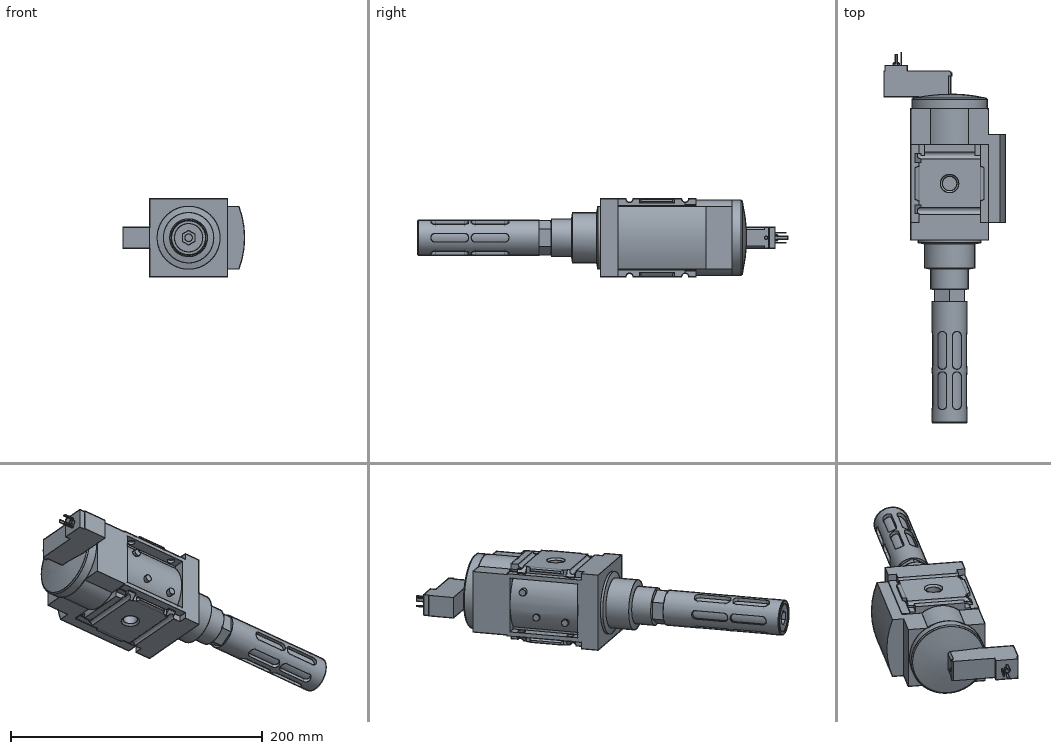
import cadquery as cq
import math


block_width = 62.0
half_width = block_width / 2
block_length = 76.0
rabbet_start = 14.0
rabbet_inner_x = 24.4
rabbet_floor_z = 25.7

groove_diameter = 5.5
groove_depth = 2.75
front_groove_y = 23.2
rear_groove_y = 67.4
rear_lip_half_width = 20.0
rear_notch_floor_z = 26.5
port_y = 45.0
port_diameter = 11.445
port_chamfer_diameter = 14.6
port_depth = 15.0

rib_outer_x = 27.4
rib_length = 28.0
rib_end_taper = 1.5
rib_floor_z = 27.4
rib_outer_floor_z = 28.6
rib_outer_z = 30.4
lug_length = 7.0
lug_inner_x = 22.9
lug_outer_z = 26.5
front_lug_y = 24.6
rear_lug_y = 65.3

window_start = 17.0
window_end = 73.6
window_half_height = 22.2
window_floor_x = 22.0
inner_cylinder_diameter = 60.0
side_pin_diameter = 5.5
side_pin_places = [(63.0, 11.0), (51.7, -8.6), (27.8, -11.0)]
wall_hole_diameter = 5.8
wall_hole_depth = 2.5
wall_hole_x = -25.9

housing_flat_z = 25.0
side_cover_end = 84.0
side_cover_half_height = housing_flat_z
side_cover_edge_x = 40.0
side_cover_crown_x = 44.55

housing_end = 104.4
housing_crown_z = 30.2
housing_crown_half_width = 15.0
cap_diameter = 60.0
cap_rim_end = 111.8
cap_chamfer = 1.0
cap_apex = 116.1

collar_diameter = 50.0
collar_end = -2.0
neck_large_diameter = 40.0
neck_large_end = -22.0
neck_small_diameter = 30.0
neck_small_end = -38.7
neck_end = -39.2
shoulder_drop = 0.9

solenoid_depth = 17.0
solenoid_left = -52.25
solenoid_right = 1.0
solenoid_base = 113.8
solenoid_top = 134.4
solenoid_end_chamfer = 1.8
solenoid_corner_chamfer = 1.0
end_chamfer_height = 130.4
connector_left = -51.3
connector_right = -33.5
connector_top = 138.9
button_diameter = 2.5
button_y = 131.7
button_end = 2.0
pin_boss_diameter = 5.0
pin_boss_x = -42.4
pin_boss_height = 2.4
pin_boss_chamfer = 0.8
pin_spread = 4.0
pin_width = 1.8
pin_thickness = 0.6
pin_end = 147.5
ground_pin_x = -38.3
ground_pin_width = 2.6
ground_pin_end = 148.9

hex_across_flats = 24.0
hex_end = -48.6
silencer_diameter = 28.0
silencer_core_diameter = 22.5
silencer_end = -145.0
silencer_chamfer = 0.5
core_recess = 0.5
slot_length = 30.0
slot_width = 7.0
slot_offset = 5.8
slot_first_y = -87.5
slot_pitch = 32.0
socket_across_flats = 10.0
socket_depth = 8.0
socket_hole_diameter = 6.0
socket_hole_depth = 4.0


def box(x0, x1, y0, y1, z0, z1):
    return cq.Workplane("XY").box(x1 - x0, y1 - y0, z1 - z0, centered=False).translate((x0, y0, z0))


def on_both_z_sides(shape):
    return [shape, shape.mirror("XY")]


def xz_prism(sketch_points, y0, y1):
    """Straight-sided profile in X and Z, extended from y0 to y1."""
    return cq.Workplane("XZ", origin=(0, y0, 0)).polyline(sketch_points).close().extrude(y0 - y1)


def y_cylinder(diameter, y0, y1):
    return cq.Workplane("XZ", origin=(0, y0, 0)).circle(diameter / 2).extrude(y0 - y1)


def y_hexagon(across_flats, y0, y1):
    """Hexagonal bar along Y with its flats facing +X and -X."""
    across_corners = 2 * across_flats / math.sqrt(3)
    return (
        cq.Workplane("XZ", origin=(0, y0, 0))
        .transformed(rotate=(0, 0, 30))
        .polygon(6, across_corners)
        .extrude(y0 - y1)
    )



def side_cover():
    return (
        cq.Workplane("XZ", origin=(0, rabbet_start, 0))
        .moveTo(half_width, -side_cover_half_height)
        .lineTo(side_cover_edge_x, -side_cover_half_height)
        .threePointArc((side_cover_crown_x, 0), (side_cover_edge_x, side_cover_half_height))
        .lineTo(half_width, side_cover_half_height)
        .close()
        .extrude(rabbet_start - side_cover_end)
    )


def rear_housing():
    return (
        cq.Workplane("XZ", origin=(0, block_length, 0))
        .moveTo(-half_width, -housing_flat_z)
        .lineTo(-housing_crown_half_width, -housing_flat_z)
        .threePointArc((0, -housing_crown_z), (housing_crown_half_width, -housing_flat_z))
        .lineTo(half_width, -housing_flat_z)
        .lineTo(half_width, housing_flat_z)
        .lineTo(housing_crown_half_width, housing_flat_z)
        .threePointArc((0, housing_crown_z), (-housing_crown_half_width, housing_flat_z))
        .lineTo(-half_width, housing_flat_z)
        .close()
        .extrude(block_length - housing_end)
    )


def end_cap():
    rim_radius = cap_diameter / 2
    dome_radius_x = rim_radius - cap_chamfer
    dome_start = cap_rim_end + cap_chamfer
    sagitta = cap_apex - dome_start
    sphere_radius = (dome_radius_x**2 + sagitta**2) / (2 * sagitta)
    middle_x = dome_radius_x / 2
    middle_y = cap_apex - sphere_radius + math.sqrt(sphere_radius**2 - middle_x**2)
    return (
        cq.Workplane("XY")
        .moveTo(0, housing_end)
        .lineTo(rim_radius, housing_end)
        .lineTo(rim_radius, cap_rim_end)
        .lineTo(dome_radius_x, dome_start)
        .threePointArc((middle_x, middle_y), (0, cap_apex))
        .close()
        .revolve(360, (0, 0, 0), (0, 1, 0))
    )


def neck():
    """Stepped neck with slightly conical shoulders."""
    collar_radius = collar_diameter / 2
    large_radius = neck_large_diameter / 2
    small_radius = neck_small_diameter / 2
    tip_radius = hex_across_flats / 2
    profile = [
        (0, 0),
        (collar_radius, 0),
        (collar_radius, collar_end),
        (large_radius, collar_end - shoulder_drop),
        (large_radius, neck_large_end),
        (small_radius, neck_large_end - shoulder_drop),
        (small_radius, neck_small_end),
        (tip_radius, neck_end),
        (0, neck_end),
    ]
    return cq.Workplane("XY").polyline(profile).close().revolve(360, (0, 0, 0), (0, 1, 0))


def rabbet_cutter(side):
    x0, x1 = sorted((side * rabbet_inner_x, side * half_width))
    return box(x0, x1, rabbet_start, block_length, rabbet_floor_z, half_width)


def rear_notch_cutter(side):
    x0, x1 = sorted((side * rear_lip_half_width, side * half_width))
    return box(x0, x1, rear_groove_y, block_length, rear_notch_floor_z, half_width)


def groove_cutter(y):
    centre_z = half_width - groove_depth + groove_diameter / 2
    return (
        cq.Workplane("YZ", origin=(-half_width, 0, 0))
        .center(y, centre_z)
        .circle(groove_diameter / 2)
        .extrude(block_width)
    )


def port_cutter():
    chamfer = (port_chamfer_diameter - port_diameter) / 2
    bore = (
        cq.Workplane("XY", origin=(0, port_y, half_width))
        .circle(port_diameter / 2)
        .extrude(-port_depth)
    )
    mouth = (
        cq.Workplane("XY", origin=(0, port_y, half_width))
        .circle(port_chamfer_diameter / 2)
        .workplane(offset=-chamfer)
        .circle(port_diameter / 2)
        .loft()
    )
    return bore.union(mouth)


def rib(side):
    """Rib along the pad edge, tapered at both ends, its top and underside sloping together outwards."""
    section = [
        (side * rear_lip_half_width, rib_floor_z),
        (side * rabbet_inner_x, rib_floor_z),
        (side * rib_outer_x, rib_outer_floor_z),
        (side * rib_outer_x, rib_outer_z),
        (side * rabbet_inner_x, half_width),
        (side * rear_lip_half_width, half_width),
    ]
    half = rib_length / 2
    bar = xz_prism(section, port_y - half, port_y + half)
    plan = [
        (side * rear_lip_half_width, port_y - half),
        (side * rabbet_inner_x, port_y - half),
        (side * rib_outer_x, port_y - half + rib_end_taper),
        (side * rib_outer_x, port_y + half - rib_end_taper),
        (side * rabbet_inner_x, port_y + half),
        (side * rear_lip_half_width, port_y + half),
    ]
    return bar.intersect(cq.Workplane("XY").polyline(plan).close().extrude(half_width))


def lug_wedge(y):
    """Sloping lug on the -X edge of the pad, at one end of a groove."""
    section = [
        (-lug_inner_x, rabbet_floor_z),
        (-rib_outer_x, rabbet_floor_z),
        (-rib_outer_x, lug_outer_z),
        (-lug_inner_x, half_width),
    ]
    return xz_prism(section, y - lug_length / 2, y + lug_length / 2)


def lug_clearance(y):
    """Pad edge above the slope of a lug."""
    section = [
        (-lug_inner_x, half_width),
        (-rib_outer_x, lug_outer_z),
        (-rib_outer_x, half_width),
    ]
    return xz_prism(section, y - lug_length / 2, y + lug_length / 2)


def window_cutter():
    """Side window that leaves the inner cylinder and three round pins standing proud of its floor."""
    pocket = box(
        -half_width, -window_floor_x, window_start, window_end, -window_half_height, window_half_height
    )
    cutter = pocket.cut(y_cylinder(inner_cylinder_diameter, window_start, window_end))
    for y, z in side_pin_places:
        pin = (
            cq.Workplane("YZ", origin=(-half_width, 0, 0))
            .center(y, z)
            .circle(side_pin_diameter / 2)
            .extrude(half_width - window_floor_x)
        )
        cutter = cutter.cut(pin)
    for y in (front_lug_y, rear_lug_y):
        hole = (
            cq.Workplane("XY", origin=(wall_hole_x, y, window_half_height))
            .circle(wall_hole_diameter / 2)
            .extrude(wall_hole_depth)
        )
        for shape in on_both_z_sides(hole):
            cutter = cutter.union(shape)
    return cutter


def valve_block():
    block = box(-half_width, half_width, 0, block_length, -half_width, half_width)
    cutters = []
    additions = []
    for side in (-1, 1):
        cutters.append(rabbet_cutter(side))
        cutters.append(rear_notch_cutter(side))
        additions.append(rib(side))
    for y in (front_lug_y, rear_lug_y):
        cutters.append(lug_clearance(y))
        additions.append(lug_wedge(y))
    late_cutters = [groove_cutter(front_groove_y), groove_cutter(rear_groove_y), port_cutter()]
    for cutter in cutters:
        for shape in on_both_z_sides(cutter):
            block = block.cut(shape)
    for addition in additions:
        for shape in on_both_z_sides(addition):
            block = block.union(shape)
    for cutter in late_cutters:
        for shape in on_both_z_sides(cutter):
            block = block.cut(shape)
    return block


def solenoid():
    half = solenoid_depth / 2
    coil = box(solenoid_left, solenoid_right, solenoid_base, end_chamfer_height, -half, half)
    coil = coil.faces(">X").edges("|Y").chamfer(solenoid_end_chamfer)
    upper = box(solenoid_left, solenoid_right, end_chamfer_height, solenoid_top, -half, half)
    upper = upper.edges(">X and >Y").chamfer(solenoid_corner_chamfer)
    connector = box(connector_left, connector_right, solenoid_base, connector_top, -half, half)
    body = coil.union(upper).union(connector)

    button = (
        cq.Workplane("YZ", origin=(0, button_y, 0))
        .circle(button_diameter / 2)
        .extrude(button_end)
    )
    boss = y_cylinder(pin_boss_diameter, connector_top, connector_top + pin_boss_height)
    boss = boss.faces(">Y").chamfer(pin_boss_chamfer).translate((pin_boss_x, 0, 0))
    body = body.union(button).union(boss)

    for z in (-pin_spread, pin_spread):
        pin = box(
            pin_boss_x - pin_width / 2, pin_boss_x + pin_width / 2, connector_top, pin_end,
            z - pin_thickness / 2, z + pin_thickness / 2,
        )
        body = body.union(pin)
    ground_pin = box(
        ground_pin_x - pin_thickness / 2, ground_pin_x + pin_thickness / 2, connector_top, ground_pin_end,
        -ground_pin_width / 2, ground_pin_width / 2,
    )
    return body.union(ground_pin)


def valve_body():
    body = valve_block()
    for part in (side_cover(), rear_housing(), end_cap(), neck(), solenoid()):
        body = body.union(part)
    return body.cut(window_cutter())



def slot_cutter(y):
    """Slot pointing along +Z, centred on X = 0."""
    return (
        cq.Workplane("XY", origin=(0, y, 0))
        .slot2D(slot_length, slot_width, 90)
        .extrude(silencer_diameter)
    )


def silencer_slots():
    """Two rows of six slots around the core: pairs facing up and down, singles facing the sides."""
    cutters = []
    for row in range(2):
        slot = slot_cutter(slot_first_y - row * slot_pitch)
        for x in (-slot_offset, slot_offset):
            cutters.extend(on_both_z_sides(slot.translate((x, 0, 0))))
        for angle in (-90, 90):
            cutters.append(slot.rotate((0, 0, 0), (0, 1, 0), angle))
    return cutters


def silencer():
    tube = y_cylinder(silencer_diameter, hex_end, silencer_end).faces("<Y").chamfer(silencer_chamfer)
    core = y_cylinder(silencer_core_diameter, hex_end, silencer_end)
    for cutter in silencer_slots():
        tube = tube.cut(cutter.cut(core))
    recess = y_cylinder(silencer_core_diameter, silencer_end + core_recess, silencer_end)
    hexagon = y_hexagon(hex_across_flats, neck_end, hex_end)
    socket_floor = silencer_end + socket_depth
    socket = y_hexagon(socket_across_flats, silencer_end, socket_floor)
    pilot = y_cylinder(socket_hole_diameter, socket_floor, socket_floor + socket_hole_depth)
    return tube.union(hexagon).cut(recess).cut(socket).cut(pilot)


valve = valve_body()
muffler = silencer()

result = cq.Compound.makeCompound([valve.val(), muffler.val()])